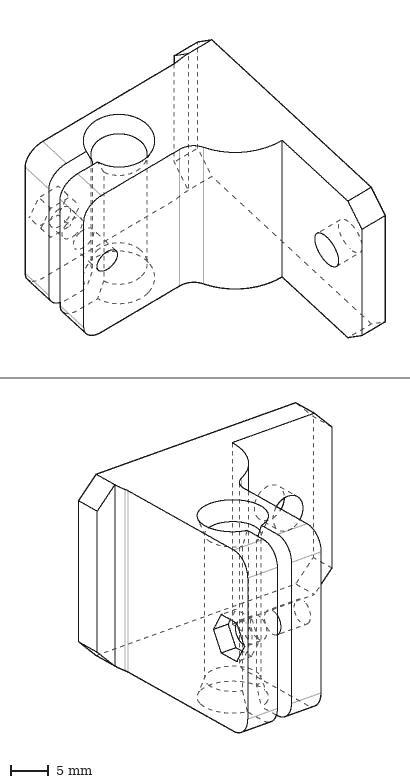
import cadquery as cq
import math


plate_length = 40.0
height = 27.0
plate_thickness = 4.0
plate_chamfer = 3.0
mount_hole_diameter = 5.1
mount_hole_x = 32.5

arm_center_x = 9.5
arm_width = 12.5
arm_depth = 32.0
arm_corner_radius = 3.0

gusset_radius = 10.0
gusset_center_x = 13.0
gusset_blend_radius = 3.0

bore_diameter = 7.5
bore_mouth_diameter = 9.5
bore_taper_height = 2.75
bore_depth = 21.0
slot_width = 2.4

screw_depth = 28.0
screw_hole_diameter = 3.5
nut_across_corners = 6.6
nut_pocket_depth = 2.5

middle_z = height / 2
arm_left_x = arm_center_x - arm_width / 2
arm_right_x = arm_center_x + arm_width / 2


def mounting_plate():
    plate = cq.Workplane("XY").box(plate_length, plate_thickness, height, centered=False)
    plate = plate.edges("|Y").chamfer(plate_chamfer)
    return plate.translate((0, -plate_thickness, 0))


def gusset_side(side, arm_face_x):
    """Points down one side of the gusset: plate, arc middle, arc end, blend middle, arm.

    The blend arc is tangent to the gusset circle and to the arm face;
    side is -1 for the left side and +1 for the right.
    """
    blend_x = arm_face_x + side * gusset_blend_radius
    center_distance = gusset_radius + gusset_blend_radius
    tangent_angle = math.acos(side * (blend_x - gusset_center_x) / center_distance)
    blend_y = -plate_thickness - center_distance * math.sin(tangent_angle)

    def on_gusset(angle):
        x = gusset_center_x + side * gusset_radius * math.cos(angle)
        return (x, -plate_thickness - gusset_radius * math.sin(angle))

    half_angle = tangent_angle / 2
    blend_middle = (
        blend_x - side * gusset_blend_radius * math.cos(half_angle),
        blend_y + gusset_blend_radius * math.sin(half_angle),
    )
    return [
        on_gusset(0),
        on_gusset(half_angle),
        on_gusset(tangent_angle),
        blend_middle,
        (arm_face_x, blend_y),
    ]


def clamp_arm():
    left = gusset_side(-1, arm_left_x)
    right = gusset_side(1, arm_right_x)
    arm = (
        cq.Workplane("XY")
        .moveTo(left[0][0], 0)
        .lineTo(*left[0])
        .threePointArc(left[1], left[2])
        .threePointArc(left[3], left[4])
        .lineTo(arm_left_x, -arm_depth)
        .lineTo(arm_right_x, -arm_depth)
        .lineTo(*right[4])
        .threePointArc(right[3], right[2])
        .threePointArc(right[1], right[0])
        .lineTo(right[0][0], 0)
        .close()
        .extrude(height)
    )
    return arm.faces("<Y").edges("|X").fillet(arm_corner_radius)


def rod_bore():
    """Rod bore with a taper at each end, revolved about its vertical axis."""
    bore_radius = bore_diameter / 2
    mouth_radius = bore_mouth_diameter / 2
    profile = [
        (0, 0),
        (mouth_radius, 0),
        (bore_radius, bore_taper_height),
        (bore_radius, height - bore_taper_height),
        (mouth_radius, height),
        (0, height),
    ]
    bore = cq.Workplane("XZ").polyline(profile).close().revolve(360, (0, 0), (0, 1))
    return bore.translate((arm_center_x, -bore_depth, 0))


def clamp_slot():
    slot_length = arm_depth - bore_depth
    slot = cq.Workplane("XY").box(slot_width, slot_length, height, centered=(True, False, False))
    return slot.translate((arm_center_x, -arm_depth, 0))


def clamp_screw():
    """Screw hole through both jaws and a hexagonal nut pocket in the left face."""
    left_face = cq.Workplane("YZ", origin=(arm_left_x, -screw_depth, middle_z))
    hole = left_face.circle(screw_hole_diameter / 2).extrude(arm_width)
    nut_pocket = left_face.polygon(6, nut_across_corners).extrude(nut_pocket_depth)
    return hole.union(nut_pocket)


def mount_hole():
    rear_face = cq.Workplane("XZ", origin=(mount_hole_x, 0, middle_z))
    return rear_face.circle(mount_hole_diameter / 2).extrude(plate_thickness)


result = (
    mounting_plate()
    .union(clamp_arm())
    .cut(rod_bore())
    .cut(clamp_slot())
    .cut(clamp_screw())
    .cut(mount_hole())
)